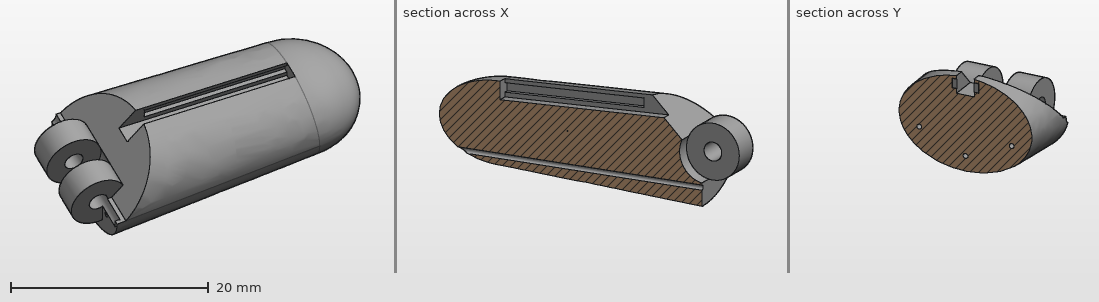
import cadquery as cq

BODY_LENGTH = 23.0
HINGE_END_RADII = (8.0, 5.5)
DOME_END_RADII = (7.0, 4.5)
DOME_LENGTH = 7.0
TAPER = (HINGE_END_RADII[1] - DOME_END_RADII[1]) / BODY_LENGTH

LEDGE_DEPTH = 1.0

KNUCKLE_RADIUS = 3.0
KNUCKLE_OUTER_X = 4.5
KNUCKLE_INNER_X = 1.47
PIN_RADIUS = 1.0
PIN_OVERHANG = 0.47
PIN_BORE_END_X = 7.55

SLOT_WIDTH = 2.0
SLOT_FLOOR_Z = 3.5
UNDERCUT_DEPTH = 0.5
UNDERCUT_HEIGHT = 1.0
UNDERCUT_RAISE = 0.5
UNDERCUT_FRONT_Y = 7.17

CORD_HOLE_RADIUS = 0.25
CORD_HOLES = [(-5.32, -1.35), (5.32, -1.35), (0, -3.48)]

CLEARANCE = 1.67


def x_cylinder(radius, start_x, end_x):
    """Cylinder along X, centred on the hinge pin axis."""
    return (
        cq.Workplane("YZ", origin=(start_x, -PIN_OVERHANG, 0))
        .circle(radius)
        .extrude(end_x - start_x)
    )


def tapered_body():
    """Elliptical body narrowing from the hinge end to the dome."""
    return (
        cq.Workplane("XZ")
        .ellipse(*HINGE_END_RADII)
        .workplane(offset=-BODY_LENGTH)
        .ellipse(*DOME_END_RADII)
        .loft(ruled=True)
    )


def dome():
    """Half ellipsoid closing the narrow end, made by flattening a half ball."""
    ball_radius = DOME_END_RADII[0]
    ball = cq.Workplane("XY").sphere(ball_radius)
    near_half = (
        cq.Workplane("XY")
        .box(2 * ball_radius, ball_radius, 2 * ball_radius)
        .translate((0, -ball_radius / 2, 0))
    )
    flatten = cq.Matrix([
        [1, 0, 0, 0],
        [0, DOME_LENGTH / ball_radius, 0, BODY_LENGTH],
        [0, 0, DOME_END_RADII[1] / ball_radius, 0],
    ])
    return cq.Workplane(ball.cut(near_half).val().transformGeometry(flatten))


def slope_cutter():
    """Removes the upper hinge end above the ledge and the 45 degree slope."""
    rise = HINGE_END_RADII[1] + CLEARANCE
    half_width = HINGE_END_RADII[0] + CLEARANCE
    return (
        cq.Workplane("YZ")
        .moveTo(-CLEARANCE, 0)
        .lineTo(LEDGE_DEPTH, 0)
        .lineTo(LEDGE_DEPTH + rise, rise)
        .lineTo(-CLEARANCE, rise)
        .close()
        .extrude(half_width, both=True)
    )


def slot_layer(half_width, front_y, bottom, top):
    """Bar along the slot; bottom and top are heights above the slot floor, which follows the taper."""
    front_z = SLOT_FLOOR_Z - TAPER * front_y
    back_z = SLOT_FLOOR_Z - TAPER * BODY_LENGTH
    return (
        cq.Workplane("YZ")
        .moveTo(front_y, front_z + bottom)
        .lineTo(BODY_LENGTH, back_z + bottom)
        .lineTo(BODY_LENGTH, back_z + top)
        .lineTo(front_y, front_z + top)
        .close()
        .extrude(half_width, both=True)
    )


def slot_cutter():
    """Slot along the top, undercut on both sides, ending where the dome starts."""
    slot = slot_layer(SLOT_WIDTH / 2, 0, 0, HINGE_END_RADII[1])
    undercut = slot_layer(
        SLOT_WIDTH / 2 + UNDERCUT_DEPTH,
        UNDERCUT_FRONT_Y,
        UNDERCUT_RAISE,
        UNDERCUT_RAISE + UNDERCUT_HEIGHT,
    )
    return slot.union(undercut)


def cord_hole_cutters():
    """Fine holes running the full length of the part."""
    return (
        cq.Workplane("XZ", origin=(0, -CLEARANCE, 0))
        .pushPoints(CORD_HOLES)
        .circle(CORD_HOLE_RADIUS)
        .extrude(-(BODY_LENGTH + DOME_LENGTH + 2 * CLEARANCE))
    )


def knuckles():
    """Two hinge barrels, one on each side of the centre gap."""
    right = x_cylinder(KNUCKLE_RADIUS, KNUCKLE_INNER_X, KNUCKLE_OUTER_X)
    return right.union(right.mirror("YZ"))


def knuckle_gap_cutter():
    """Round relief in the body between the knuckles, for the mating barrel."""
    return x_cylinder(KNUCKLE_RADIUS, -KNUCKLE_INNER_X, KNUCKLE_INNER_X)


def pin_bore_cutter():
    """Hinge pin bore, open at the -X side and closed at the +X side."""
    return x_cylinder(PIN_RADIUS, -HINGE_END_RADII[0] - CLEARANCE, PIN_BORE_END_X)


body = tapered_body().union(dome()).cut(slope_cutter()).cut(slot_cutter())
hinged_body = body.union(knuckles()).cut(knuckle_gap_cutter()).cut(pin_bore_cutter())
result = hinged_body.cut(cord_hole_cutters())